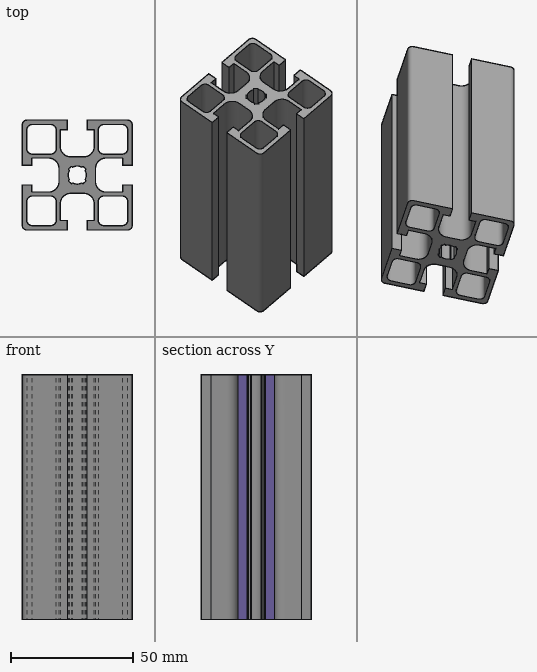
import cadquery as cq

side = 45.0
length = 100.0
corner_radius = 2.0

slot_opening = 8.0
slot_width = 13.8
slot_depth = 15.0
lip_thickness = 4.0
slot_floor_radius = 4.2

wall = 1.9
pocket_side = 12.0
pocket_radius = 2.2

bore_diameter = 7.3
groove_floor_diameter = 8.4
groove_width = 1.8


def prism(x_size, y_size):
    """Full-length rectangular bar centred on the Z axis."""
    return cq.Workplane("XY").rect(x_size, y_size).extrude(length)


def t_slot():
    """Cutter for the slot that opens on the +Y side."""
    outer_face = side / 2
    chamber_depth = slot_depth - lip_thickness
    chamber_centre = outer_face - lip_thickness - chamber_depth / 2
    chamber = prism(slot_width, chamber_depth).edges("|Z and <Y").fillet(slot_floor_radius)
    chamber = chamber.translate((0, chamber_centre, 0))
    mouth_depth = lip_thickness + chamber_depth / 2
    mouth = prism(slot_opening, mouth_depth).translate((0, outer_face - mouth_depth / 2, 0))
    return chamber.union(mouth)


def corner_pocket():
    """Cutter for the hollow in the +X +Y corner."""
    centre = side / 2 - wall - pocket_side / 2
    pocket = prism(pocket_side, pocket_side).edges("|Z").fillet(pocket_radius)
    return pocket.translate((centre, centre, 0))


def central_bore():
    """Cutter for the round bore and its four diagonal grooves with concentric floors."""
    bore = cq.Workplane("XY").circle(bore_diameter / 2).extrude(length)
    groove_limit = cq.Workplane("XY").circle(groove_floor_diameter / 2).extrude(length)
    for angle in (45, 135):
        groove_pair = prism(groove_floor_diameter, groove_width).rotate((0, 0, 0), (0, 0, 1), angle)
        bore = bore.union(groove_pair.intersect(groove_limit))
    return bore


result = prism(side, side).edges("|Z").fillet(corner_radius)
for quarter_turn in range(4):
    for cutter in (t_slot(), corner_pocket()):
        result = result.cut(cutter.rotate((0, 0, 0), (0, 0, 1), 90 * quarter_turn))
result = result.cut(central_bore())